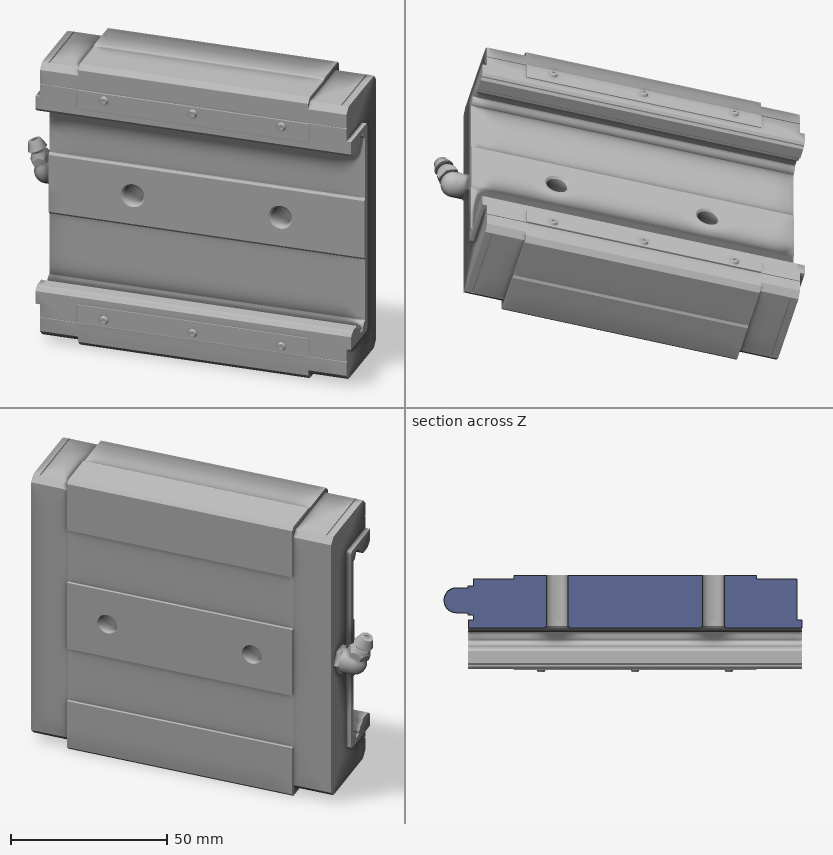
import cadquery as cq
import math


cut_margin = 1.2

block_length = 77.7
block_height = 100.0
block_depth = 30.0
back_chamfer = 1.0
front_chamfer = 1.6
side_relief = 0.5
relief_start = 13.9
relief_end = 14.7
back_groove_depth = 0.9
center_pad_height = 24.5
outer_pad_start = 31.7

cap_span = 103.6
cap_height = 96.0
cap_back = 1.2
cap_chamfer = 2.0
cap_joint_inset = 2.1
cap_joint_width = 0.6
cap_joint_depth = 0.4

seal_span = 106.8
seal_height = 73.3
seal_back = 14.2
seal_corner_radius = 0.8

web_depth = 16.2
rib_depth = 16.9
rib_top = 10.0
rib_base = 10.9
lip_inner = 30.7
race_edge = 32.2
race_round = 2.0
race_end = 21.0
race_wall = 0.9
race_bevel = 1.2
race_floor = 34.7
lip_start = 24.3
lip_rise = 1.2
lip_end = 28.1
lip_step = 0.7

strip_inner = 34.7
strip_outer = 41.0
strip_thickness = 0.4
joint_width = 0.4
joint_depth = 0.6
screw_spacing = 30.0
screw_height = 38.7
screw_base_diameter = 3.2
screw_top_diameter = 2.1
screw_head_depth = 31.0
socket_across_corners = 1.5
socket_depth = 0.5

hole_spacing = 50.0
hole_diameter = 6.8
countersink_diameter = 8.0

nipple_depth = 8.0
nipple_tilt = 22.5
base_hex_width = 8.2
base_hex_thickness = 1.6
elbow_radius = 4.1
elbow_reach = 5.3
stem_hex_width = 6.7
stem_hex_bottom = 3.4
stem_hex_top = 5.7
stem_hex_rounding = 60
collar_top = 6.9
collar_top_radius = 2.8
neck_radius = 1.2
head_bottom = 8.0
head_bottom_radius = 3.3
head_top = 11.2
head_top_radius = 2.1
grease_hole_radius = 0.9
grease_hole_depth = 0.4


def bar(workplane_outline, length):
    """Extrude a YZ outline symmetrically about X = 0."""
    return workplane_outline.extrude(length / 2, both=True)


def mirrored_outline(half_points):
    """Closed YZ outline from (depth, height) points of the upper half, mirrored about Z = 0."""
    upper = [(-depth, height) for depth, height in half_points]
    lower = [(y, -z) for y, z in reversed(upper)]
    return cq.Workplane("YZ").polyline(upper + lower).close()


def make_block():
    top = block_height / 2
    front_top = top - side_relief
    half_points = [
        (0, center_pad_height / 2),
        (back_groove_depth, center_pad_height / 2),
        (back_groove_depth, outer_pad_start),
        (0, outer_pad_start),
        (0, top - back_chamfer),
        (back_chamfer, top),
        (relief_start, top),
        (relief_end, front_top),
        (block_depth - front_chamfer, front_top),
        (block_depth, front_top - front_chamfer),
    ]
    return bar(mirrored_outline(half_points), block_length)


def make_caps():
    top = cap_height / 2
    half_points = [
        (cap_back, top - cap_chamfer),
        (cap_back + cap_chamfer, top),
        (block_depth - cap_chamfer, top),
        (block_depth, top - cap_chamfer),
    ]
    caps = bar(mirrored_outline(half_points), cap_span)
    joint_length = block_depth - cap_back - 2 * cap_chamfer
    joint_center = -(block_depth + cap_back) / 2
    for x_side in (-1, 1):
        joint_x = x_side * (cap_span / 2 - cap_joint_inset - cap_joint_width / 2)
        for z_side in (-1, 1):
            joint = cq.Workplane("XY").box(cap_joint_width, joint_length, 2 * cap_joint_depth)
            caps = caps.cut(joint.translate((joint_x, joint_center, z_side * top)))
    return caps


def make_seal():
    seal = cq.Workplane("XY").box(seal_span, block_depth - seal_back, seal_height)
    seal = seal.edges("|X and >Y").fillet(seal_corner_radius)
    return seal.translate((0, -(seal_back + block_depth) / 2, 0))


def make_cavity_half(side):
    """Half of the rail space: ribbed web floor, ball race and lip, on the side given by the sign."""
    def at(depth, height):
        return (-depth, side * height)

    mouth = block_depth + cut_margin
    race_start = web_depth + race_round
    round_inset = race_round * (1 - math.sqrt(0.5))
    outline = (
        cq.Workplane("YZ")
        .moveTo(*at(rib_depth, 0))
        .lineTo(*at(rib_depth, rib_top))
        .lineTo(*at(web_depth, rib_base))
        .lineTo(*at(web_depth, race_edge))
        .threePointArc(
            at(race_start - round_inset, race_edge + round_inset),
            at(race_start, race_edge + race_round),
        )
        .lineTo(*at(race_start, race_floor))
        .lineTo(*at(race_end, race_floor))
        .lineTo(*at(race_end, race_floor - race_wall))
        .lineTo(*at(race_end + race_bevel, race_edge))
        .lineTo(*at(lip_start - lip_rise, race_edge))
        .lineTo(*at(lip_start, lip_inner))
        .lineTo(*at(lip_end, lip_inner))
        .lineTo(*at(lip_end + lip_step, lip_inner + lip_step))
        .lineTo(*at(block_depth - lip_step, lip_inner + lip_step))
        .lineTo(*at(block_depth, race_edge))
        .lineTo(*at(mouth, race_edge))
        .lineTo(*at(mouth, 0))
        .close()
    )
    return bar(outline, seal_span + 2 * cut_margin)


def make_strip(side):
    """Retainer strip on the front of one leg, with three button-head screws."""
    strip_width = strip_outer - strip_inner
    strip_depth = block_depth + strip_thickness
    strip = cq.Workplane("XY").box(block_length, cut_margin, strip_width)
    strip = strip.translate((0, cut_margin / 2 - strip_depth, side * (strip_inner + strip_outer) / 2))
    for index in (-1, 0, 1):
        head = (
            cq.Workplane("XZ", origin=(index * screw_spacing, -block_depth, side * screw_height))
            .circle(screw_base_diameter / 2)
            .workplane(offset=screw_head_depth - block_depth)
            .circle(screw_top_diameter / 2)
            .loft()
            .faces("<Y").workplane(centerOption="CenterOfMass")
            .polygon(6, socket_across_corners)
            .cutBlind(-socket_depth)
        )
        strip = strip.union(head)
    return strip


def make_strip_joint(side):
    joint = cq.Workplane("XY").box(cap_span, 2 * joint_depth, joint_width)
    return joint.translate((0, -block_depth, side * (strip_outer + joint_width / 2)))


def make_web_hole(x):
    """Through hole along Y with a small 45 degree countersink at the rib."""
    radius = hole_diameter / 2
    countersink = (countersink_diameter - hole_diameter) / 2
    hole = cq.Workplane("XZ", origin=(x, 0, 0)).circle(radius).extrude(rib_depth)
    sink = cq.Workplane("XZ", origin=(x, countersink - rib_depth, 0)).circle(radius)
    sink = sink.workplane(offset=countersink).circle(countersink_diameter / 2).loft()
    return hole.union(sink)


def make_nipple():
    """Grease nipple: hexagon base and ball elbow, with a tilted stem ending in a conical head."""
    hex_corner = 2 / math.sqrt(3)
    base_plane = cq.Plane((-cap_span / 2, -nipple_depth, 0), xDir=(0, 1, 0), normal=(-1, 0, 0))
    base = cq.Workplane(base_plane).polygon(6, base_hex_width * hex_corner).extrude(base_hex_thickness)
    ball_x = -cap_span / 2 - elbow_reach
    elbow = (
        cq.Workplane("XY", origin=(0, -nipple_depth, 0))
        .moveTo(-cap_span / 2 + cut_margin, 0)
        .lineTo(-cap_span / 2 + cut_margin, elbow_radius)
        .lineTo(ball_x, elbow_radius)
        .radiusArc((ball_x - elbow_radius, 0), -elbow_radius)
        .close()
        .revolve(360, (0, 0), (1, 0))
    )

    stem_hex = cq.Workplane("XY").workplane(offset=stem_hex_bottom)
    stem_hex = stem_hex.polygon(6, stem_hex_width * hex_corner).extrude(stem_hex_top - stem_hex_bottom)
    rounding_height = stem_hex_width * math.tan(math.radians(stem_hex_rounding))
    rounding_bottom = stem_hex_top - rounding_height / 2
    rounding = cq.Workplane("XZ").polyline(
        [
            (0, 0),
            (stem_hex_width, 0),
            (stem_hex_width, rounding_bottom),
            (0, rounding_bottom + rounding_height),
        ]
    ).close().revolve(360, (0, 0), (0, 1))
    stem_hex = stem_hex.intersect(rounding)
    tip = cq.Workplane("XZ").polyline(
        [
            (0, stem_hex_bottom),
            (stem_hex_width / 2, stem_hex_bottom),
            (stem_hex_width / 2, stem_hex_top),
            (collar_top_radius, collar_top),
            (neck_radius, collar_top),
            (neck_radius, head_bottom),
            (head_bottom_radius, head_bottom),
            (head_top_radius, head_top),
            (grease_hole_radius, head_top),
            (grease_hole_radius, head_top - grease_hole_depth),
            (0, head_top - grease_hole_depth),
        ]
    ).close().revolve(360, (0, 0), (0, 1))
    stem = stem_hex.union(tip).rotate((0, 0, 0), (0, 1, 0), -nipple_tilt)
    stem = stem.translate((ball_x, -nipple_depth, 0))
    return base.union(elbow).union(stem)


carriage = make_block().union(make_caps()).union(make_seal())
for leg in (-1, 1):
    carriage = carriage.cut(make_cavity_half(leg))
    carriage = carriage.cut(make_strip_joint(leg)).union(make_strip(leg))
for hole_x in (-hole_spacing / 2, hole_spacing / 2):
    carriage = carriage.cut(make_web_hole(hole_x))
result = carriage.union(make_nipple())